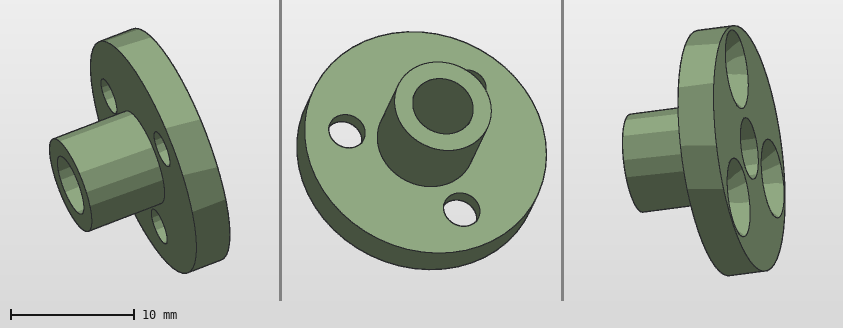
import cadquery as cq

flange_diameter = 19.98
flange_thickness = 3.0

total_length = 9.5
hub_diameter = 8.0
bore_diameter = 5.0

hole_count = 3
hole_diameter = 3.0
hole_circle_radius = 6.5
countersink_diameter = 6.4
countersink_depth = (countersink_diameter - hole_diameter) / 2
first_hole_angle = 57.4


def cylinder_toward_front(diameter, length):
    """Cylinder on the Y axis, from the flange's back face (Y = 0) toward -Y."""
    return cq.Workplane("XZ").circle(diameter / 2).extrude(length)


flange = cylinder_toward_front(flange_diameter, flange_thickness)
hub = cylinder_toward_front(hub_diameter, total_length)
bore = cylinder_toward_front(bore_diameter, total_length)

hole_centers = cq.Workplane("XZ").polarArray(
    hole_circle_radius, first_hole_angle, 360, hole_count
)
mounting_holes = hole_centers.circle(hole_diameter / 2).extrude(flange_thickness)

countersink_cone = cq.Solid.makeCone(
    countersink_diameter / 2,
    hole_diameter / 2,
    countersink_depth,
)
countersinks = hole_centers.eachpoint(countersink_cone, useLocalCoordinates=True)

result = flange.union(hub).cut(bore).cut(mounting_holes).cut(countersinks)